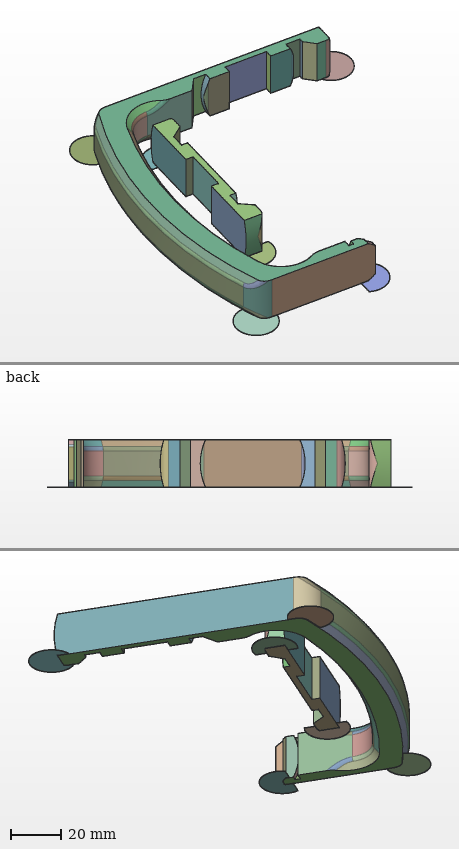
import cadquery as cq
import math

HEIGHT = 19.0
WALL = 2.8
REACH = 290.0
OVERALL_WIDTH = 145.0
OVERALL_DEPTH = 130.8

HALF_WIDTH = 64.2
BOW_RADIUS = 170.1
BAR_DEPTH = 14.8
INNER_BOW_RADIUS = BOW_RADIUS - BAR_DEPTH
OUTER_CORNER_RADIUS = 10.0
INNER_CORNER_RADIUS = 11.6

EDGE_SETBACK = 2.8
EDGE_DROP = 3.5
EDGE_BLEND_RADIUS = 2.9

LEFT_OUTER_X = -HALF_WIDTH
LEFT_THIN_X = LEFT_OUTER_X + WALL
LEFT_INNER_X = LEFT_OUTER_X + 8.8
LEFT_TAB_X = LEFT_THIN_X + 3.3
LEFT_END_Y = 118.0
END_BULGE = 1.5
HEAD_RADIUS = 3.3
HOOK_SLOPE_TOP_Y = 112.0
HOOK_BASE_Y = 107.6
HOOK_FOOT_X = LEFT_THIN_X + 1.9
RAMP_TOP_Y = 58.3
RAMP_BOTTOM_Y = 54.0
UPPER_TAB_Y = (92.1, 101.2)
LOWER_TAB_Y = (73.0, 64.0)
TAB_BULGE = 2.2
TAB_TIP_RADIUS = 1.5

RIGHT_INNER_X = 58.2
RIGHT_STEP_X = 59.2
RIGHT_STEP_Y = 56.9
RIGHT_END_Y = 64.1
RIGHT_END_CHAMFER = 1.9
GROOVE_SIZE = 2.2
TONGUE_WIDTH = 2.3
TONGUE_LENGTH = 3.3
TONGUE_TIP_RADIUS = 1.2
TONGUE_DROP = 2.3

CLIP_X = -9.1
CLIP_BACK_Y = 29.3
CLIP_FLOOR_Y = CLIP_BACK_Y + 3.3
CLIP_TAB_Y = CLIP_FLOOR_Y + WALL
CLIP_HEAD_Y = 38.1
CLIP_HALF_LENGTH = 35.4
CLIP_HEAD_INNER = 29.0
CLIP_SLOPE_FOOT = 24.8
CLIP_TAB_HALF_LENGTH = 18.7
CLIP_NOTCH_HALF_LENGTH = 9.9

PAD_RADIUS = 18.4 / 2
PAD_THICKNESS = 0.2
CORNER_PAD_X = OVERALL_WIDTH / 2 - PAD_RADIUS
CORNER_PAD_Y = 12.6
HOOK_PAD = (-60.6, OVERALL_DEPTH - PAD_RADIUS)
TONGUE_PAD = (62.1, 64.7)
TONGUE_PAD_CUT_Y = 60.8
CLIP_PAD_OFFSET = 34.2
CLIP_PAD_CUT_OFFSET = 31.5
CLIP_PAD_Y = 34.0


def arched_slab(plane, start, end, bulge):
    """Slab along one axis whose end face bows outward at mid height."""
    direction = math.copysign(1, end - start)
    tip = end + direction * bulge
    return (
        cq.Workplane(plane)
        .moveTo(start, 0)
        .lineTo(end, 0)
        .threePointArc((tip, HEIGHT / 2), (end, HEIGHT))
        .lineTo(start, HEIGHT)
        .close()
        .extrude(REACH, both=True)
    )


def block(x_min, x_max, y_min, y_max):
    return (
        cq.Workplane("XY")
        .box(x_max - x_min, y_max - y_min, HEIGHT, centered=False)
        .translate((x_min, y_min, 0))
    )


def corner_points(wall_x, bow_radius, corner_radius):
    """Centre, wall tangent point, mid point and bow tangent point of a rounded bar corner."""
    side = math.copysign(1, wall_x)
    cx = wall_x - side * corner_radius
    angle = math.asin(cx / (bow_radius - corner_radius))
    cy = BOW_RADIUS - (bow_radius - corner_radius) * math.cos(angle)
    mid_angle = (angle + side * math.pi / 2) / 2
    middle = (cx + corner_radius * math.sin(mid_angle), cy - corner_radius * math.cos(mid_angle))
    on_bow = (cx + corner_radius * math.sin(angle), cy - corner_radius * math.cos(angle))
    return (cx, cy), (wall_x, cy), middle, on_bow


def sloped_rim(radius, side, angle=360.0):
    """Solid of revolution about z; its rim slopes outward (side 1) or inward (side -1) at both faces."""
    face_radius = radius + side * EDGE_SETBACK
    return (
        cq.Workplane("XZ")
        .moveTo(0, 0)
        .lineTo(face_radius, 0)
        .lineTo(radius, EDGE_DROP)
        .lineTo(radius, HEIGHT - EDGE_DROP)
        .lineTo(face_radius, HEIGHT)
        .lineTo(0, HEIGHT)
        .close()
        .revolve(angle, (0, 0, 0), (0, 1, 0))
    )


def frame_blank():
    """Frame plan at full height, with square bar edges and a flat hook end."""
    _, left_wall, left_mid, left_bow = corner_points(LEFT_OUTER_X, BOW_RADIUS, OUTER_CORNER_RADIUS)
    _, right_wall, right_mid, right_bow = corner_points(HALF_WIDTH, BOW_RADIUS, OUTER_CORNER_RADIUS)
    _, in_left_wall, in_left_mid, in_left_bow = corner_points(
        LEFT_INNER_X, INNER_BOW_RADIUS, INNER_CORNER_RADIUS
    )
    _, in_right_wall, in_right_mid, in_right_bow = corner_points(
        RIGHT_INNER_X, INNER_BOW_RADIUS, INNER_CORNER_RADIUS
    )
    hook_tip_y = LEFT_END_Y + END_BULGE
    arc_inset = HEAD_RADIUS * (1 - math.sqrt(0.5))
    return (
        cq.Workplane("XY")
        .moveTo(LEFT_OUTER_X, hook_tip_y)
        .lineTo(*left_wall)
        .threePointArc(left_mid, left_bow)
        .threePointArc((0, 0), right_bow)
        .threePointArc(right_mid, right_wall)
        .lineTo(HALF_WIDTH, RIGHT_END_Y)
        .lineTo(RIGHT_STEP_X + RIGHT_END_CHAMFER, RIGHT_END_Y)
        .lineTo(RIGHT_STEP_X, RIGHT_END_Y - RIGHT_END_CHAMFER)
        .lineTo(RIGHT_STEP_X, RIGHT_STEP_Y)
        .lineTo(RIGHT_INNER_X, RIGHT_STEP_Y)
        .lineTo(*in_right_wall)
        .threePointArc(in_right_mid, in_right_bow)
        .threePointArc((0, BAR_DEPTH), in_left_bow)
        .threePointArc(in_left_mid, in_left_wall)
        .lineTo(LEFT_INNER_X, RAMP_BOTTOM_Y)
        .lineTo(LEFT_THIN_X, RAMP_TOP_Y)
        .lineTo(LEFT_THIN_X, HOOK_BASE_Y)
        .lineTo(HOOK_FOOT_X, HOOK_BASE_Y)
        .lineTo(LEFT_INNER_X, HOOK_SLOPE_TOP_Y)
        .lineTo(LEFT_INNER_X, hook_tip_y - HEAD_RADIUS)
        .threePointArc(
            (LEFT_INNER_X - arc_inset, hook_tip_y - arc_inset),
            (LEFT_INNER_X - HEAD_RADIUS, hook_tip_y),
        )
        .close()
        .extrude(HEIGHT)
    )


def inner_edge_cutter():
    """Flared void that slopes the inner edges of the bar and runs out into both arms."""
    left_centre, _, _, left_bow = corner_points(LEFT_INNER_X, INNER_BOW_RADIUS, INNER_CORNER_RADIUS)
    right_centre, _, _, right_bow = corner_points(RIGHT_INNER_X, INNER_BOW_RADIUS, INNER_CORNER_RADIUS)
    left_angle = math.degrees(math.asin(left_bow[0] / INNER_BOW_RADIUS))
    right_angle = math.degrees(math.asin(right_bow[0] / INNER_BOW_RADIUS))
    sector = sloped_rim(INNER_BOW_RADIUS, 1, right_angle - left_angle)
    cutter = sector.rotate((0, 0, 0), (0, 0, 1), left_angle - 90).translate((0, BOW_RADIUS, 0))
    for centre in (left_centre, right_centre):
        cutter = cutter.union(sloped_rim(INNER_CORNER_RADIUS, 1).translate((*centre, 0)))
    return cutter


def arm_tab(plain_y, bowed_y):
    """Tab on the inside of the long arm; one end bows out."""
    slab = arched_slab("YZ", plain_y, bowed_y, TAB_BULGE)
    tip_y = bowed_y + math.copysign(TAB_BULGE, bowed_y - plain_y)
    plan = block(LEFT_OUTER_X, LEFT_TAB_X, min(plain_y, tip_y), max(plain_y, tip_y))
    tip_corner = cq.selectors.NearestToPointSelector((LEFT_TAB_X, tip_y, HEIGHT / 2))
    return slab.intersect(plan.edges(tip_corner).fillet(TAB_TIP_RADIUS))


def groove_cutter():
    """Upright groove in the short arm; its far wall bows in to close it at mid height."""
    top_y = RIGHT_STEP_Y + GROOVE_SIZE
    groove = block(RIGHT_STEP_X, RIGHT_STEP_X + GROOVE_SIZE, RIGHT_STEP_Y, top_y)
    return groove.cut(arched_slab("YZ", REACH, top_y, GROOVE_SIZE))


def tongue():
    """Tongue on the end of the short arm, sloped at top and bottom."""
    tip_y = RIGHT_END_Y + TONGUE_LENGTH
    return (
        cq.Workplane("YZ", origin=(HALF_WIDTH - TONGUE_WIDTH, 0, 0))
        .moveTo(RIGHT_END_Y, 0)
        .lineTo(tip_y, TONGUE_DROP)
        .lineTo(tip_y, HEIGHT - TONGUE_DROP)
        .lineTo(RIGHT_END_Y, HEIGHT)
        .close()
        .extrude(TONGUE_WIDTH)
        .faces(">Y")
        .edges("|X")
        .fillet(TONGUE_TIP_RADIUS)
    )


def blend_slopes(body):
    """Round the edges where the sloped faces meet the upright faces of the bar and arms."""
    margin = 0.7
    bar_zone = cq.selectors.BoxSelector(
        (-HALF_WIDTH, -margin, margin),
        (HALF_WIDTH, RAMP_BOTTOM_Y, HEIGHT - margin),
    )
    slope_edges = body.edges(bar_zone).edges("not |Z")
    return slope_edges.fillet(EDGE_BLEND_RADIUS)


def make_frame():
    body = frame_blank().intersect(sloped_rim(BOW_RADIUS, -1).translate((0, BOW_RADIUS, 0)))
    body = body.intersect(arched_slab("YZ", -REACH, LEFT_END_Y, END_BULGE))
    body = body.cut(inner_edge_cutter())
    body = blend_slopes(body)
    for plain_y, bowed_y in (UPPER_TAB_Y, LOWER_TAB_Y):
        body = body.union(arm_tab(plain_y, bowed_y))
    return body.cut(groove_cutter()).union(tongue())


def clip_half(side):
    """Half of the clip about x = 0: side 1 is the right half, side -1 the left half."""
    tip_x = CLIP_HALF_LENGTH + END_BULGE
    outline = [
        (0, CLIP_FLOOR_Y),
        (CLIP_NOTCH_HALF_LENGTH, CLIP_FLOOR_Y),
        (CLIP_NOTCH_HALF_LENGTH, CLIP_BACK_Y),
        (tip_x, CLIP_BACK_Y),
        (tip_x, CLIP_HEAD_Y),
        (CLIP_HEAD_INNER, CLIP_HEAD_Y),
        (CLIP_SLOPE_FOOT, CLIP_FLOOR_Y),
        (CLIP_TAB_HALF_LENGTH, CLIP_FLOOR_Y),
        (CLIP_TAB_HALF_LENGTH, CLIP_TAB_Y),
        (0, CLIP_TAB_Y),
    ]
    half = cq.Workplane("XY").polyline([(side * x, y) for x, y in outline]).close().extrude(HEIGHT)
    head_corner = cq.selectors.NearestToPointSelector((side * tip_x, CLIP_HEAD_Y, HEIGHT / 2))
    half = half.edges(head_corner).fillet(HEAD_RADIUS)
    half = half.intersect(arched_slab("XZ", 0, side * CLIP_HALF_LENGTH, END_BULGE))
    tab = arched_slab("XZ", 0, side * CLIP_TAB_HALF_LENGTH, TAB_BULGE)
    tab_tip_x = CLIP_TAB_HALF_LENGTH + TAB_BULGE
    tab_plan = block(-tab_tip_x, tab_tip_x, CLIP_FLOOR_Y, CLIP_TAB_Y)
    tab_corner = cq.selectors.NearestToPointSelector((side * tab_tip_x, CLIP_TAB_Y, HEIGHT / 2))
    return half.union(tab.intersect(tab_plan.edges(tab_corner).fillet(TAB_TIP_RADIUS)))


def make_clip():
    return clip_half(-1).union(clip_half(1)).translate((CLIP_X, 0, 0))


def make_pad(x, y, neighbour):
    """Thin disc, cut away where the neighbouring body stands."""
    disc = cq.Workplane("XY").center(x, y).circle(PAD_RADIUS).extrude(PAD_THICKNESS)
    return disc.cut(neighbour)


frame = make_frame()
clip = make_clip()

pads = [make_pad(*HOOK_PAD, frame)]
for side in (-1, 1):
    pads.append(make_pad(side * CORNER_PAD_X, CORNER_PAD_Y, frame))

tongue_pad = make_pad(*TONGUE_PAD, frame)
pads.append(tongue_pad.cut(block(-REACH, REACH, 0, TONGUE_PAD_CUT_Y)))

clip_pad_gap = block(CLIP_X - CLIP_PAD_CUT_OFFSET, CLIP_X + CLIP_PAD_CUT_OFFSET, 0, REACH)
for side in (-1, 1):
    clip_pad = make_pad(CLIP_X + side * CLIP_PAD_OFFSET, CLIP_PAD_Y, clip)
    pads.append(clip_pad.cut(clip_pad_gap))

result = cq.Compound.makeCompound([body.solids().val() for body in (frame, clip, *pads)])